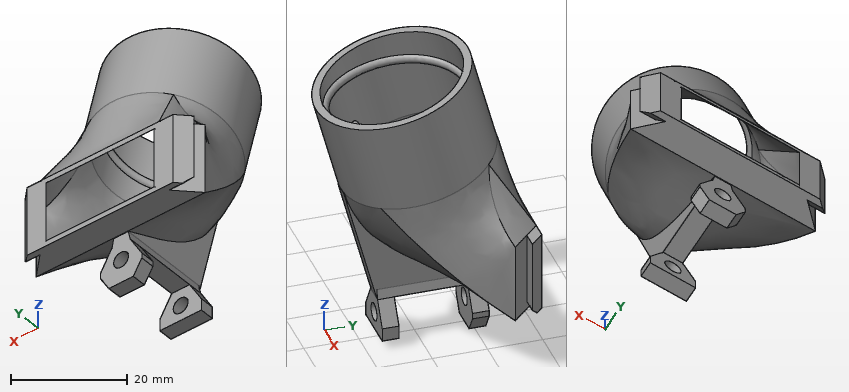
import cadquery as cq
import math

TILT = 15.0
SOCKET_DIA = 28.5
BORE_DIA = 25.5
SOCKET_LENGTH = 17.5
SOCKET_BASE_Y = -17.35
SOCKET_BASE_Z = 24.35

BEAD_RADIUS = 0.85
BEAD_PITCH = 9.7
BEAD_TURNS = 1.3
BEAD_START_ANGLE = -40.0
BEAD_START_DEPTH = 1.2

MOUTH_WIDTH = 37.3
MOUTH_HEIGHT = 14.9
MOUTH_DEPTH = 5.65
WALL = 1.1

SHOULDER_MID = (13.4, -7.7, 20.75)
LOWER_CORNER_MID = (15.1, -17.35, 10.75)
BELLY_MID = (0, -26.55, 11.55)
BELLY_END_SLOPE = 22.0

GUIDE_STEPS = (0.1, 0.3, 0.5, 0.7, 0.9)
PATCH_DEGREE = 2
PATCH_SEGMENTS = 30

RAIL_THICKNESS = 2.55
RAIL_RELIEF_HEIGHT = 1.5
RAIL_RELIEF_DEPTH = 1.25

RIB_WIDTH = 3.2
FOOT_HEIGHT = 1.8
FOOT_WIDTH = 4.0
LUG_THICKNESS = 3.05
LUG_WIDTH = 9.2
LUG_SHOULDER_Z = -6.2
FRONT_LUG_BOTTOM_Z = -8.7
REAR_LUG_TAPER_Z = -7.3
REAR_LUG_BOTTOM_Z = -10.4
REAR_LUG_TIP_WIDTH = 5.4
HINGE_HOLE_DIA = 3.25
HINGE_HOLE_Z = -5.4
FEET_REAR_Y = -5.75
FEET_FRONT_Y = -25.1

tilt = math.radians(TILT)
axis = cq.Vector(0, -math.sin(tilt), math.cos(tilt))
across = cq.Vector(0, math.cos(tilt), math.sin(tilt))
socket_base = cq.Vector(0, SOCKET_BASE_Y, SOCKET_BASE_Z)
socket_plane = cq.Plane(origin=socket_base, xDir=(1, 0, 0), normal=axis)
mouth_back_half = MOUTH_WIDTH / 2 - MOUTH_DEPTH


def mirrored(point):
    return cq.Vector(-point.x, point.y, point.z)


def inset_point(point, inset):
    """Move a point of the outer duct toward the middle of the duct."""
    middle = cq.Vector(0, (SOCKET_BASE_Y - MOUTH_DEPTH) / 2, (SOCKET_BASE_Z + MOUTH_HEIGHT) / 2)
    inward = middle - point
    return point + inward.normalized() * inset


def duct(radius, inset):
    """Solid from a tilted disc to the mouth; the inset draws in every mouth wall."""

    def rim(angle):
        turn = math.radians(angle)
        sideways = cq.Vector(radius * math.cos(turn), 0, 0)
        return socket_base + sideways + across * (radius * math.sin(turn))

    def rim_arc(start, end):
        return cq.Edge.makeThreePointArc(rim(start), rim((start + end) / 2), rim(end))

    half = MOUTH_WIDTH / 2 - inset
    back_half = mouth_back_half - inset
    top = MOUTH_HEIGHT - inset
    back_low = cq.Vector(back_half, 0, inset)
    back_high = cq.Vector(back_half, 0, top)
    front_low = cq.Vector(half, -MOUTH_DEPTH, inset)
    front_high = cq.Vector(half, -MOUTH_DEPTH, top)
    line = cq.Edge.makeLine

    def pair(build):
        return build(lambda p: p), build(mirrored)

    shoulder_mid = inset_point(cq.Vector(*SHOULDER_MID), inset)
    corner_mid = inset_point(cq.Vector(*LOWER_CORNER_MID), inset)
    belly_mid = inset_point(cq.Vector(*BELLY_MID), inset)

    shoulders = pair(lambda m: cq.Edge.makeSpline([m(rim(45)), m(shoulder_mid), m(front_high)]))
    corners = pair(lambda m: cq.Edge.makeSpline([m(rim(-45)), m(corner_mid), m(front_low)]))
    roof_sides = pair(lambda m: line(m(rim(45)), m(back_high)))
    uprights = pair(lambda m: line(m(front_low), m(front_high)))
    back_uprights = pair(lambda m: line(m(back_low), m(back_high)))
    miters_high = pair(lambda m: line(m(back_high), m(front_high)))
    miters_low = pair(lambda m: line(m(back_low), m(front_low)))
    side_arcs = (rim_arc(-45, 45), rim_arc(135, 225))
    back_arc = rim_arc(45, 135)
    front_arc = rim_arc(225, 315)
    back_top = line(back_high, mirrored(back_high))
    back_bottom = line(back_low, mirrored(back_low))
    front_bottom = line(front_low, mirrored(front_low))

    slope = math.radians(BELLY_END_SLOPE)
    belly = cq.Edge.makeSpline(
        [rim(-90), belly_mid, cq.Vector(0, -MOUTH_DEPTH, inset)],
        tangents=[axis * -1, cq.Vector(0, math.cos(slope), -math.sin(slope))],
    )
    side_mid = cq.Vector(half, -MOUTH_DEPTH, MOUTH_HEIGHT / 2)
    side_slope = cq.Vector(half - radius, SOCKET_BASE_Y * -1 - MOUTH_DEPTH, side_mid.z - SOCKET_BASE_Z)
    flanks = pair(lambda m: cq.Edge.makeSpline(
        [m(rim(0)), m(side_mid)], tangents=[axis * -1, m(side_slope.normalized())]))
    roof_middle = line(rim(90), cq.Vector(0, 0, top))

    def along(edge):
        return [edge.positionAt(t) for t in GUIDE_STEPS]

    def patch(edges, points=()):
        return cq.Face.makeNSidedSurface(
            edges, list(points), degree=PATCH_DEGREE, maxSegments=PATCH_SEGMENTS)

    def flat(edges):
        return cq.Face.makeFromWires(cq.Wire.assembleEdges(edges))

    faces = [
        patch([back_arc, roof_sides[1], back_top, roof_sides[0]], along(roof_middle)),
        patch([front_arc, corners[1], front_bottom, corners[0]], along(belly)),
        flat([back_arc, side_arcs[1], front_arc, side_arcs[0]]),
        flat([back_top, back_uprights[1], back_bottom, back_uprights[0]]),
        flat([back_bottom, miters_low[1], front_bottom, miters_low[0]]),
    ]
    for side in (0, 1):
        side_edges = [side_arcs[side], shoulders[side], uprights[side], corners[side]]
        faces.append(patch(side_edges, along(flanks[side])))
        faces.append(patch([roof_sides[side], miters_high[side], shoulders[side]]))
        faces.append(flat([back_uprights[side], miters_high[side], uprights[side], miters_low[side]]))
    solid = cq.Solid.makeSolid(cq.Shell.makeShell(faces))
    return cq.Workplane(obj=solid.fix())


def bead():
    """Round bead winding down the bore from near the open end."""
    radius = BORE_DIA / 2
    helix = cq.Wire.makeHelix(BEAD_PITCH, BEAD_PITCH * BEAD_TURNS, radius)
    ridge = cq.Workplane("XZ", origin=(radius, 0, 0)).circle(BEAD_RADIUS).sweep(
        cq.Workplane(obj=helix), isFrenet=True)
    ridge = ridge.rotate((0, 0, 0), (1, 0, 0), 180).rotate((0, 0, 0), (0, 0, 1), BEAD_START_ANGLE)
    ridge = ridge.translate((0, 0, SOCKET_LENGTH - BEAD_START_DEPTH))
    return cq.Workplane(obj=ridge.val().moved(cq.Location(socket_plane)))


def rail():
    """Dovetail rail on the +X side, relieved at its lower front corner."""
    inner = mouth_back_half - WALL / 2
    tip = MOUTH_WIDTH / 2
    profile = [
        (inner, 0),
        (tip - RAIL_THICKNESS, 0),
        (tip, -RAIL_THICKNESS),
        (inner, -RAIL_THICKNESS),
    ]
    body = cq.Workplane("XY").polyline(profile).close().extrude(MOUTH_HEIGHT)
    relief = (
        cq.Workplane("YZ", origin=(mouth_back_half, 0, 0))
        .polyline([(-RAIL_THICKNESS, 0), (-RAIL_RELIEF_DEPTH, 0), (-RAIL_THICKNESS, RAIL_RELIEF_HEIGHT)])
        .close()
        .extrude(MOUTH_WIDTH)
    )
    return body.cut(relief)


def rib():
    """Upright web under the duct; its front edge continues the socket's side."""
    top = socket_base - across * (SOCKET_DIA / 2)
    foot_y = top.y + (top.z + FOOT_HEIGHT) * math.tan(tilt)
    outline = [(top.y, top.z), (SOCKET_BASE_Y, top.z), (FEET_REAR_Y, 0), (FEET_REAR_Y, -FOOT_HEIGHT),
               (foot_y, -FOOT_HEIGHT)]
    return cq.Workplane("YZ").polyline(outline).close().extrude(RIB_WIDTH / 2, both=True)


def symmetric_plate(half_outline, front_y, thickness):
    """Plate in XZ, mirrored about X = 0, reaching back from front_y."""
    outline = half_outline + [(-x, z) for x, z in reversed(half_outline)]
    return cq.Workplane("XZ", origin=(0, front_y + thickness, 0)).polyline(outline).close().extrude(thickness)


def hinge():
    """Sloped foot strip with a drilled lug at each end."""
    rib_half = RIB_WIDTH / 2
    lug_half = LUG_WIDTH / 2
    foot_outline = [(rib_half, 0), (FOOT_WIDTH / 2, -FOOT_HEIGHT)]
    shoulder = foot_outline + [(lug_half, LUG_SHOULDER_Z)]
    front_outline = shoulder + [(lug_half, FRONT_LUG_BOTTOM_Z)]
    rear_outline = shoulder + [(lug_half, REAR_LUG_TAPER_Z), (REAR_LUG_TIP_WIDTH / 2, REAR_LUG_BOTTOM_Z)]
    holes = (
        cq.Workplane("XZ", origin=(0, FEET_REAR_Y, HINGE_HOLE_Z))
        .circle(HINGE_HOLE_DIA / 2)
        .extrude(FEET_REAR_Y - FEET_FRONT_Y)
    )
    return (
        symmetric_plate(foot_outline, FEET_FRONT_Y, FEET_REAR_Y - FEET_FRONT_Y)
        .union(symmetric_plate(front_outline, FEET_FRONT_Y, LUG_THICKNESS))
        .union(symmetric_plate(rear_outline, FEET_REAR_Y - LUG_THICKNESS, LUG_THICKNESS))
        .cut(holes)
    )


socket = cq.Workplane(socket_plane).circle(SOCKET_DIA / 2).extrude(SOCKET_LENGTH)
bore = cq.Workplane(socket_plane).circle(BORE_DIA / 2).extrude(SOCKET_LENGTH)
right_rail = rail()

result = duct(SOCKET_DIA / 2, 0).union(socket).union(rib()).union(hinge())
result = result.union(right_rail).union(right_rail.mirror("YZ"))
passage = duct(BORE_DIA / 2, WALL).union(bore)
result = result.cut(passage)
result = result.union(bead().intersect(socket))